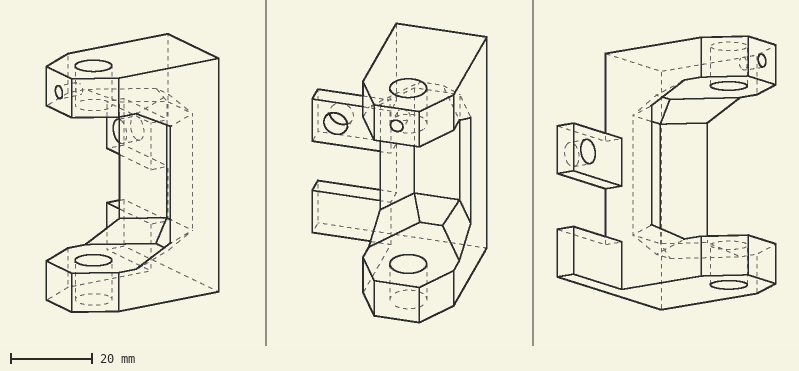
import cadquery as cq
import math

height = 60.0
depth = 39.0
arm_length = 20.0
body_width = 23.1
lug_thickness = 10.0
bore_diameter = 9.0
pin_hole_diameter = 3.2
nose_length = 10.0
arm_height = 12.0
arm_thickness = 5.0
upper_arm_base = 26.0
arm_hole_diameter = 6.0
arm_hole_inset = 6.0
back_wall = 4.0
pocket_chamfer = 5.0
cut_margin = 18.0

slant = math.tan(math.radians(30))
half_width = body_width / 2
half_flat = half_width - nose_length * slant
front_y = -nose_length
back_y = depth - nose_length
arm_end_x = -half_width - arm_length


def make_body():
    """Block with a tapered half-hexagon nose."""
    outline = [
        (-half_width, back_y),
        (-half_width, 0),
        (-half_flat, front_y),
        (half_flat, front_y),
        (half_width, 0),
        (half_width, back_y),
    ]
    return cq.Workplane("XY").polyline(outline).close().extrude(height)


def make_pocket():
    """Forward-widening cavity between the lugs, with 45 degree sloped ends."""
    pocket_back = back_y - back_wall
    pocket_front = front_y - cut_margin
    half_front = half_flat + (pocket_back - pocket_front) * slant
    outline = [
        (-half_flat, pocket_back),
        (half_flat, pocket_back),
        (half_front, pocket_front),
        (-half_front, pocket_front),
    ]
    middle = height / 2
    straight_half = middle - lug_thickness - pocket_chamfer

    def profile(z):
        return cq.Workplane("XY", origin=(0, 0, z)).polyline(outline).close()

    top_z = middle + straight_half
    bottom_z = middle - straight_half
    straight = profile(bottom_z).extrude(top_z - bottom_z)
    top_slope = profile(top_z).extrude(pocket_chamfer, taper=45)
    bottom_slope = profile(bottom_z).extrude(-pocket_chamfer, taper=45)
    return straight.union(top_slope).union(bottom_slope)


def make_arm(base_z):
    """Flat side arm, flush with the back face."""
    return cq.Workplane("XY").box(
        arm_length, arm_thickness, arm_height, centered=False
    ).translate((arm_end_x, back_y - arm_thickness, base_z))


result = make_body().cut(make_pocket())

for base_z in (0, upper_arm_base):
    result = result.union(make_arm(base_z))

bore = cq.Workplane("XY").circle(bore_diameter / 2).extrude(height)

pin_hole = (
    cq.Workplane("XZ", origin=(0, 0, height - lug_thickness / 2))
    .circle(pin_hole_diameter / 2)
    .extrude(nose_length)
)

arm_hole = (
    cq.Workplane("XZ", origin=(arm_end_x + arm_hole_inset, back_y, upper_arm_base + arm_height / 2))
    .circle(arm_hole_diameter / 2)
    .extrude(arm_thickness)
)

result = result.cut(bore).cut(pin_hole).cut(arm_hole)